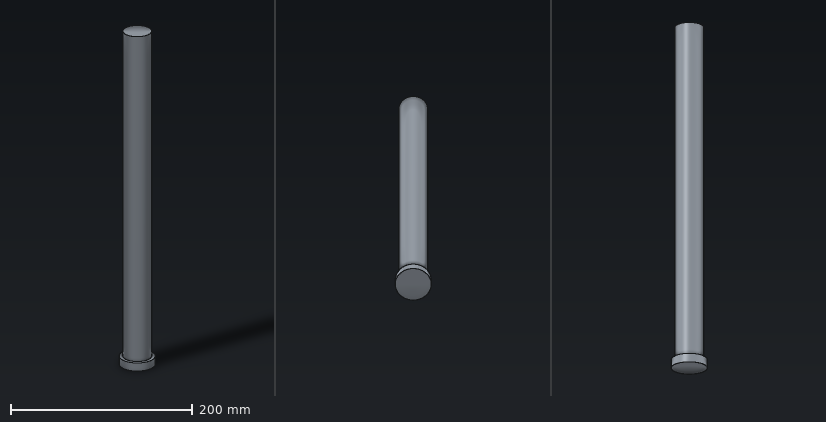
import cadquery as cq

total_length = 400.0
head_diameter = 40.0
head_height = 10.0
shaft_diameter = 32.0

head = cq.Workplane("XY").circle(head_diameter / 2).extrude(head_height)
shaft = cq.Workplane("XY").circle(shaft_diameter / 2).extrude(total_length)

result = head.union(shaft)